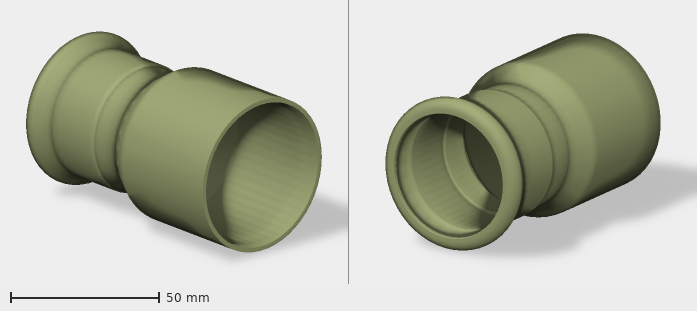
import cadquery as cq
import math

length = 92.0
spigot_radius = 54.0 / 2
spigot_bore_radius = 51.0 / 2
socket_radius = 45.4 / 2
socket_bore_radius = 42.3 / 2
neck_radius = 44.0 / 2
neck_bore_radius = 41.0 / 2
mouth_radius = 43.3 / 2
wall = spigot_radius - spigot_bore_radius

bead_radius = 3.7
bead_centre_radius = 23.0
mouth_edge_radius = 0.3
bead_inner_radius = bead_radius - wall
lip_thickness = wall
groove_bend_radius = wall

socket_start = 10.4
socket_end = 30.0
neck_start = 31.7
neck_end = 41.95
bore_step_start = 30.0
bore_step_end = 30.9

cone_angle = math.radians(30)
bend_radius = 4.9
neck_bend_radius = 0.7


def point_on_bead(radius, angle):
    """Point on a circle about the bead centre; the angle is measured from +X."""
    return (
        bead_radius + radius * math.cos(angle),
        bead_centre_radius + radius * math.sin(angle),
    )


def tangent_angle(radius, target):
    """Angle on the bead circle whose tangent line passes through the target."""
    dx = target[0] - bead_radius
    dy = target[1] - bead_centre_radius
    return math.atan2(dy, dx) + math.acos(radius / math.hypot(dx, dy))


def reducer_points(small_radius, large_radius, cone_start, bend):
    """Ends and middle of the bend between a cone and the larger cylinder."""
    bend_start_radius = large_radius - bend * (1 - math.cos(cone_angle))
    bend_start = cone_start + (bend_start_radius - small_radius) / math.tan(cone_angle)
    bend_end = bend_start + bend * math.sin(cone_angle)
    half = cone_angle / 2
    middle = (bend_end - bend * math.sin(half), large_radius - bend * (1 - math.cos(half)))
    return (bend_start, bend_start_radius), middle, (bend_end, large_radius)


def neck_bend(corner, bend):
    """Start, middle and end of the bend between the neck cylinder and the cone."""
    corner_x, corner_radius = corner
    half = cone_angle / 2
    reach = bend * math.tan(half)
    start_x = corner_x - reach
    middle = (start_x + bend * math.sin(half), corner_radius + bend * (1 - math.cos(half)))
    end = (corner_x + reach * math.cos(cone_angle), corner_radius + reach * math.sin(cone_angle))
    return (start_x, corner_radius), middle, end


def outer_body():
    socket_corner = (socket_start, socket_radius)
    flank_angle = tangent_angle(bead_radius, socket_corner)
    bend_start, bend_middle, bend_end = reducer_points(
        neck_radius, spigot_radius, neck_end, bend_radius
    )
    neck_bend_start, neck_bend_middle, neck_bend_end = neck_bend(
        (neck_end, neck_radius), neck_bend_radius
    )
    shoulder_drop = socket_radius - neck_radius
    shoulder_middle = ((socket_end + neck_start) / 2, socket_radius - shoulder_drop / 4)
    profile = (
        cq.Workplane("XY")
        .lineTo(0, bead_centre_radius)
        .threePointArc(
            point_on_bead(bead_radius, (math.pi + flank_angle) / 2),
            point_on_bead(bead_radius, flank_angle),
        )
        .lineTo(*socket_corner)
        .lineTo(socket_end, socket_radius)
        .threePointArc(shoulder_middle, (neck_start, neck_radius))
        .lineTo(*neck_bend_start)
        .threePointArc(neck_bend_middle, neck_bend_end)
        .lineTo(*bend_start)
        .threePointArc(bend_middle, bend_end)
        .lineTo(length, spigot_radius)
        .lineTo(length, 0)
        .close()
    )
    return profile.revolve(360, (0, 0, 0), (1, 0, 0))


def bore():
    cone_start = neck_end + wall * math.tan(cone_angle / 2)
    bend_start, bend_middle, bend_end = reducer_points(
        neck_bore_radius, spigot_bore_radius, cone_start, bend_radius - wall
    )
    neck_bend_start, neck_bend_middle, neck_bend_end = neck_bend(
        (cone_start, neck_bore_radius), neck_bend_radius + wall
    )
    groove_corner = (socket_start, socket_bore_radius)
    flank_angle = tangent_angle(bead_inner_radius, groove_corner)
    slope = math.pi / 2 - flank_angle
    reach = groove_bend_radius * math.tan(slope / 2)
    groove_bend_start = (
        socket_start - reach * math.cos(slope),
        socket_bore_radius + reach * math.sin(slope),
    )
    groove_bend_end = (socket_start + reach, socket_bore_radius)
    groove_bend_middle = (
        groove_bend_end[0] - groove_bend_radius * math.sin(slope / 2),
        socket_bore_radius + groove_bend_radius * (1 - math.cos(slope / 2)),
    )
    mouth_edge_middle = (
        mouth_edge_radius * (1 - math.sqrt(0.5)),
        mouth_radius + mouth_edge_radius * (1 - math.sqrt(0.5)),
    )
    profile = (
        cq.Workplane("XY")
        .lineTo(0, mouth_radius + mouth_edge_radius)
        .threePointArc(mouth_edge_middle, (mouth_edge_radius, mouth_radius))
        .lineTo(lip_thickness, mouth_radius)
        .lineTo(lip_thickness, bead_centre_radius)
        .threePointArc(
            point_on_bead(bead_inner_radius, (math.pi + flank_angle) / 2),
            point_on_bead(bead_inner_radius, flank_angle),
        )
        .lineTo(*groove_bend_start)
        .threePointArc(groove_bend_middle, groove_bend_end)
        .lineTo(bore_step_start, socket_bore_radius)
        .lineTo(bore_step_end, neck_bore_radius)
        .lineTo(*neck_bend_start)
        .threePointArc(neck_bend_middle, neck_bend_end)
        .lineTo(*bend_start)
        .threePointArc(bend_middle, bend_end)
        .lineTo(length, spigot_bore_radius)
        .lineTo(length, 0)
        .close()
    )
    return profile.revolve(360, (0, 0, 0), (1, 0, 0))


result = outer_body().cut(bore())